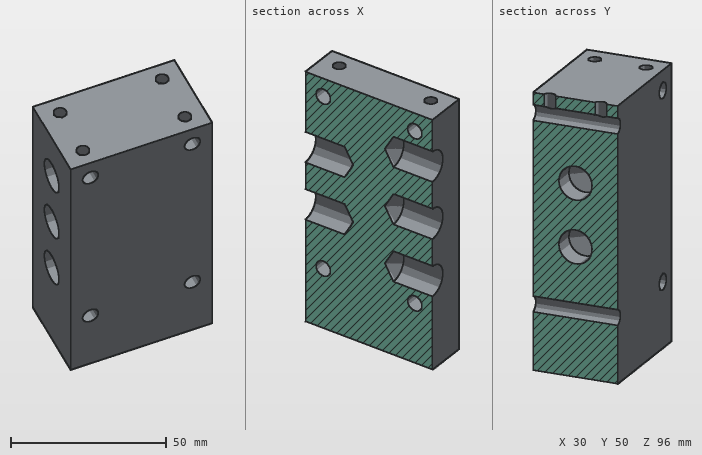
import cadquery as cq
import math

width = 30.0
depth = 50.0
height = 96.0

port_diameter = 11.5
port_depth = 15.4
port_pitch = 22.0
first_port_drop = 18.0
port_count_front = 3
port_count_back = port_count_front - 1

cross_hole_diameter = 5.5
cross_hole_drop = 7.0
cross_hole_spacing_z = 66.0

top_hole_diameter = 4.2
top_hole_depth = cross_hole_drop
top_hole_spacing_x = 18.0

hole_spacing_y = 36.0

drill_point_angle = 120.0


def port_drill(start, direction):
    """Port hole with a conical bottom; port_depth reaches the shoulder of the cone."""
    radius = port_diameter / 2
    tip_length = radius / math.tan(math.radians(drill_point_angle / 2))
    start_point = cq.Vector(*start)
    axis = cq.Vector(*direction)
    shoulder = start_point + axis * port_depth
    barrel = cq.Solid.makeCylinder(radius, port_depth, start_point, axis)
    tip = cq.Solid.makeCone(radius, 0, tip_length, shoulder, axis)
    return cq.Workplane(barrel.fuse(tip))


result = cq.Workplane().box(width, depth, height)
top = height / 2

for index in range(port_count_front):
    port_z = top - first_port_drop - index * port_pitch
    result = result.cut(port_drill((0, -depth / 2, port_z), (0, 1, 0)))

for index in range(port_count_back):
    port_z = top - first_port_drop - index * port_pitch - port_pitch / 2
    result = result.cut(port_drill((0, depth / 2, port_z), (0, -1, 0)))

top_holes = (
    cq.Workplane("XY", origin=(0, 0, top - top_hole_depth))
    .rarray(top_hole_spacing_x, hole_spacing_y, 2, 2)
    .circle(top_hole_diameter / 2)
    .extrude(top_hole_depth)
)
result = result.cut(top_holes)

cross_hole_center_z = top - cross_hole_drop - cross_hole_spacing_z / 2
cross_holes = (
    cq.Workplane("YZ", origin=(-width / 2, 0, cross_hole_center_z))
    .rarray(hole_spacing_y, cross_hole_spacing_z, 2, 2)
    .circle(cross_hole_diameter / 2)
    .extrude(width)
)
result = result.cut(cross_holes)